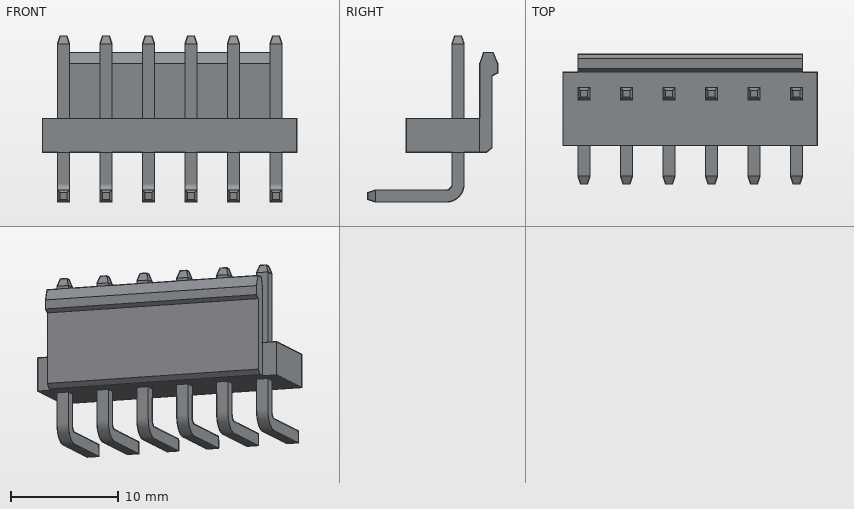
import cadquery as cq


pin_count = 6
pin_pitch = 3.95
pin_size = 1.14
pin_row_span = (pin_count - 1) * pin_pitch + pin_size

pin_top_z = 10.83
pin_bottom_z = -4.65
pin_tail_y = -8.41
bend_inner_radius = 0.55
tip_length = 0.73
tip_end_size = 0.65

base_length = 23.7
base_height = 3.15
base_front_y = -4.83
base_back_y = 2.01

wall_length = pin_row_span
wall_back_y = 3.18
wall_top_z = 9.3
wall_foot_chamfer_depth = 0.52
wall_foot_chamfer_height = 0.43

hook_back_y = 3.7
hook_top_front_y = 2.37
hook_top_back_y = 3.27
hook_slope_z = 8.25
hook_lower_z = 7.4
hook_root_z = 7.1


def make_base():
    """Plain rectangular base block."""
    return (
        cq.Workplane("XY")
        .box(base_length, base_back_y - base_front_y, base_height, centered=(True, False, False))
        .translate((0, base_front_y, 0))
    )


def make_latch_wall():
    """Upright wall with a chamfered foot and a tapered latch hook at the top."""
    profile = [
        (base_back_y, 0),
        (wall_back_y - wall_foot_chamfer_depth, 0),
        (wall_back_y, wall_foot_chamfer_height),
        (wall_back_y, hook_root_z),
        (hook_back_y, hook_lower_z),
        (hook_back_y, hook_slope_z),
        (hook_top_back_y, wall_top_z),
        (hook_top_front_y, wall_top_z),
        (base_back_y, hook_slope_z),
    ]
    return cq.Workplane("YZ").polyline(profile).close().extrude(wall_length / 2, both=True)


def make_pin_hole(x):
    """Square through-hole cutter for the pin at x."""
    return (
        cq.Workplane("XY")
        .box(pin_size, pin_size, base_height, centered=(True, True, False))
        .translate((x, 0, 0))
    )


def make_tip(end_plane):
    """Tapered pin tip that narrows along the plane normal."""
    return (
        cq.Workplane(end_plane)
        .rect(pin_size, pin_size)
        .workplane(offset=tip_length)
        .rect(tip_end_size, tip_end_size)
        .loft(ruled=True)
    )


def make_pin(x):
    """Square pin with an upright leg, a rounded bend, a forward tail and two tapered tips."""
    leg_top_z = pin_top_z - tip_length
    tail_end_y = pin_tail_y + tip_length
    tail_centre_z = pin_bottom_z + pin_size / 2
    bend_radius = bend_inner_radius + pin_size / 2

    path = (
        cq.Workplane("YZ")
        .moveTo(0, leg_top_z)
        .lineTo(0, tail_centre_z + bend_radius)
        .tangentArcPoint((-bend_radius, tail_centre_z), relative=False)
        .lineTo(tail_end_y, tail_centre_z)
    )
    shaft = cq.Workplane("XY", origin=(0, 0, leg_top_z)).rect(pin_size, pin_size).sweep(path)

    top_plane = cq.Plane(origin=(0, 0, leg_top_z), xDir=(1, 0, 0), normal=(0, 0, 1))
    tail_plane = cq.Plane(origin=(0, tail_end_y, tail_centre_z), xDir=(1, 0, 0), normal=(0, -1, 0))
    pin = shaft.union(make_tip(top_plane)).union(make_tip(tail_plane))
    return pin.translate((x, 0, 0)).solids().val()


pin_positions = [(i - (pin_count - 1) / 2) * pin_pitch for i in range(pin_count)]

housing = make_base().union(make_latch_wall())
for pin_x in pin_positions:
    housing = housing.cut(make_pin_hole(pin_x))

pins = [make_pin(pin_x) for pin_x in pin_positions]

result = cq.Compound.makeCompound([housing.solids().val(), *pins])